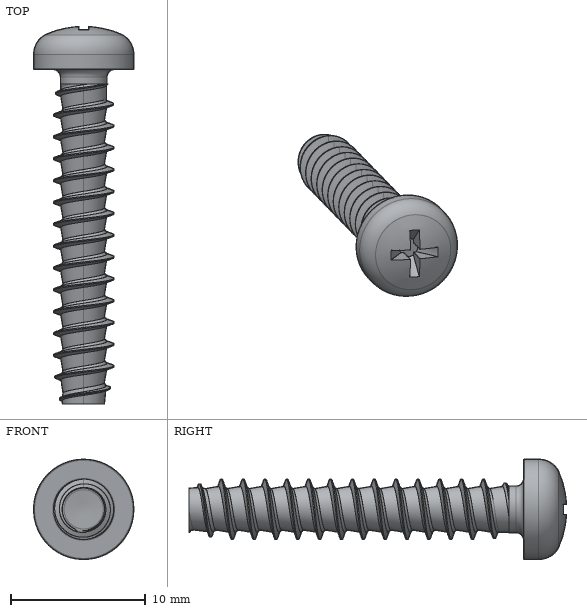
import cadquery as cq
import math

overall_length = 28.15

head_radius = 3.75
head_height = 3.2
rim_height = 1.13
rim_fillet = 0.08
shoulder_top_radius = 2.9
dome_radius = 6.9
head_base_y = overall_length - head_height

recess_width = 0.73
recess_top_radius = 1.97
recess_bottom_radius = 0.7
recess_depth = 1.97

recess_corner_radius = recess_width / math.sqrt(2)
dome_centre_y = overall_length - math.sqrt(dome_radius**2 - recess_corner_radius**2)
dome_top_y = dome_centre_y + dome_radius

neck_radius = 1.75
neck_length = 1.07
neck_fillet = 0.55
core_radius = 1.55
neck_end_y = head_base_y - neck_length

dimple_radius = 1.45
dimple_depth = 0.1

full_turns = 12
full_thread_length = 19.55
pitch = full_thread_length / full_turns
first_crest_y = 21.95
crest_radius = 2.25
crest_width = 0.08
flank_base_width = 0.45
ridge_radius = 1.72
groove_lead = 0.42

rise_start = -1.4
rise_end = 0.0
groove_start = -0.25
groove_full = 0.0
first_turn = -2
last_turn = full_turns + 2
points_per_turn = 16


def revolve_about_y(profile):
    return profile.close().revolve(360, (0, 0, 0), (0, 1, 0))


def make_head():
    shoulder_top_y = dome_centre_y + math.sqrt(dome_radius**2 - shoulder_top_radius**2)
    profile = (
        cq.Workplane("XY")
        .moveTo(0, head_base_y)
        .lineTo(head_radius - rim_fillet, head_base_y)
        .radiusArc((head_radius, head_base_y + rim_fillet), -rim_fillet)
        .lineTo(head_radius, head_base_y + rim_height)
        .tangentArcPoint((shoulder_top_radius, shoulder_top_y), relative=False)
        .radiusArc((0, dome_top_y), -dome_radius)
    )
    return revolve_about_y(profile)


def make_recess():
    envelope = revolve_about_y(
        cq.Workplane("XY")
        .moveTo(0, overall_length - recess_depth)
        .lineTo(recess_bottom_radius, overall_length - recess_depth)
        .lineTo(recess_top_radius, overall_length)
        .lineTo(recess_top_radius, dome_top_y)
        .lineTo(0, dome_top_y)
    )
    span = 2 * recess_top_radius
    wing_height = 2 * recess_depth
    wing_x = cq.Workplane("XY").box(span, wing_height, recess_width)
    wing_z = cq.Workplane("XY").box(recess_width, wing_height, span)
    cross = wing_x.union(wing_z).translate((0, overall_length, 0))
    return envelope.intersect(cross)


def make_neck():
    profile = (
        cq.Workplane("XY")
        .moveTo(0, neck_end_y)
        .lineTo(neck_radius, neck_end_y)
        .lineTo(neck_radius, head_base_y - neck_fillet)
        .radiusArc((neck_radius + neck_fillet, head_base_y), neck_fillet)
        .lineTo(0, head_base_y)
    )
    return revolve_about_y(profile)


def ramp(turn, start, end):
    """Rise from 0 to 1 between two turns."""
    return min(max((turn - start) / (end - start), 0), 1)


def groove_radius(turn):
    depth = ridge_radius - core_radius
    return ridge_radius - depth * ramp(turn, groove_start, groove_full)


def thread_section(turn):
    """Corners of the thread section, groove to groove, as (distance towards the tip, radius)."""
    rise = 1 - (1 - ramp(turn, rise_start, rise_end)) ** 2
    fade = 1 - ramp(turn, full_turns, last_turn)
    half_crest = crest_width / 2
    half_base = half_crest + fade * (flank_base_width - crest_width) / 2
    ridge = core_radius + fade * (ridge_radius - core_radius)
    crest = ridge + rise * fade * (crest_radius - ridge_radius)
    return [
        (-groove_lead, groove_radius(turn)),
        (-half_base, ridge),
        (-half_crest, crest),
        (half_crest, crest),
        (half_base, ridge),
        (pitch - groove_lead, groove_radius(turn + 1)),
    ]


def thread_points(turn):
    angle = 2 * math.pi * turn
    crest_y = first_crest_y - pitch * turn
    return [
        cq.Vector(-radius * math.sin(angle), crest_y - offset, radius * math.cos(angle))
        for offset, radius in thread_section(turn)
    ]


def helical_edges(turn):
    """Curves traced by the section corners during one turn."""
    sections = [thread_points(turn + i / points_per_turn) for i in range(points_per_turn + 1)]
    return [cq.Edge.makeSpline(list(corner)) for corner in zip(*sections)]


def end_faces(turn, groove_edge):
    """Close an end with a flat section down to the axis and a helicoid from the groove to the axis."""
    section = thread_points(turn)
    axis_start = cq.Vector(0, section[0].y, 0)
    axis_end = cq.Vector(0, section[-1].y, 0)
    flat = cq.Face.makeFromWires(cq.Wire.makePolygon([axis_start, *section, axis_end], close=True))
    helicoid = cq.Face.makeRuledSurface(groove_edge, cq.Edge.makeLine(axis_start, axis_end))
    return [flat, helicoid]


def make_threaded_shank():
    turns = [helical_edges(turn) for turn in range(first_turn, last_turn)]
    faces = [
        cq.Face.makeRuledSurface(edge, next_edge)
        for edges in turns
        for edge, next_edge in zip(edges, edges[1:])
    ]
    faces += end_faces(first_turn, turns[0][0])
    faces += end_faces(last_turn, turns[-1][-1])
    solid = cq.Solid.makeSolid(cq.Shell.makeShell(faces))
    trim_radius = 2 * crest_radius
    trim = revolve_about_y(
        cq.Workplane("XY")
        .moveTo(0, dimple_depth)
        .lineTo(dimple_radius, 0)
        .lineTo(trim_radius, 0)
        .lineTo(trim_radius, neck_end_y)
        .lineTo(0, neck_end_y)
    )
    return trim.intersect(cq.Workplane("XY").newObject([solid]))


head = make_neck().union(make_head()).cut(make_recess())
result = make_threaded_shank().union(head)